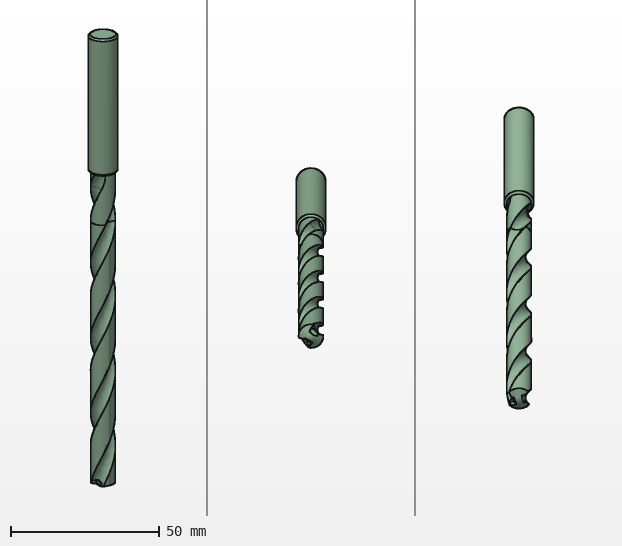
import cadquery as cq
import math

TOTAL_LENGTH = 165.0
SHANK_DIAMETER = 10.0
SHANK_LENGTH = 50.0
SHANK_TOP_CHAMFER = 0.7
SHANK_BOTTOM_CHAMFER = 0.8
DRILL_DIAMETER = 8.4
HEAD_LENGTH = 97.0
POINT_HEIGHT = 2.0

FLUTE_COUNT = 2
FLUTE_LEAD = 54.6
FLUTE_LENGTH = 109.7
FLUTE_DEPTH = 2.0
FLUTE_OPENING_ANGLE = 76.0
FLUTE_START_ANGLE = -82.0
BLANK_ALLOWANCE = 0.3

GASH_WIDTH = 3.0
GASH_HEIGHT = 3.1
GASH_OFFSET = 1.0

drill_radius = DRILL_DIAMETER / 2
shank_radius = SHANK_DIAMETER / 2
shank_bottom = TOTAL_LENGTH - SHANK_LENGTH
flute_spacing = 360 / FLUTE_COUNT
flute_end_angle = FLUTE_START_ANGLE + 360 * FLUTE_LENGTH / FLUTE_LEAD

half_opening = math.radians(FLUTE_OPENING_ANGLE / 2)
half_mouth = drill_radius * math.sin(half_opening)
floor_radius = drill_radius - FLUTE_DEPTH
floor_to_mouth = drill_radius * math.cos(half_opening) - floor_radius
flute_radius = (half_mouth**2 + floor_to_mouth**2) / (2 * floor_to_mouth)
flute_center = floor_radius + flute_radius

blank_radius = drill_radius + BLANK_ALLOWANCE
blank_half_opening = math.degrees(math.acos(
    (blank_radius**2 + flute_center**2 - flute_radius**2) / (2 * blank_radius * flute_center)
))


def polar_point(radius, degrees):
    """Point at the given distance and direction from the axis."""
    angle = math.radians(degrees)
    return (radius * math.cos(angle), radius * math.sin(angle))


def around_axis(shape, angle):
    """Shape turned about the Z axis."""
    return shape.rotate((0, 0, 0), (0, 0, 1), angle)


def fluted_blank(bottom, length):
    """Oversize rod with helical grooves that continue from one stretch to the next."""
    bottom_angle = FLUTE_START_ANGLE + 360 * bottom / FLUTE_LEAD
    outline = cq.Workplane("XY", origin=(0, 0, bottom))
    outline = outline.moveTo(*polar_point(blank_radius, bottom_angle - blank_half_opening))
    for index in range(FLUTE_COUNT):
        groove_angle = bottom_angle + index * flute_spacing
        groove_floor = polar_point(floor_radius, groove_angle)
        groove_end = polar_point(blank_radius, groove_angle + blank_half_opening)
        land_middle = polar_point(blank_radius, groove_angle + flute_spacing / 2)
        land_end = polar_point(blank_radius, groove_angle + flute_spacing - blank_half_opening)
        outline = outline.threePointArc(groove_floor, groove_end)
        outline = outline.threePointArc(land_middle, land_end)
    return outline.close().twistExtrude(length, 360 * length / FLUTE_LEAD)


def make_run_out():
    """Straight groove that leaves the helix along its tangent and stops at the shank."""
    rise = shank_bottom - FLUTE_LENGTH
    sideways = rise * 2 * math.pi * flute_center / FLUTE_LEAD
    section = cq.Wire.makeCircle(
        flute_radius, cq.Vector(flute_center, 0, FLUTE_LENGTH), cq.Vector(0, 0, 1)
    )
    run_out = cq.Solid.extrudeLinear(section, [], cq.Vector(0, sideways, rise))
    return cq.Workplane(run_out)


def make_gash():
    """Wedge on +X that thins the web between a groove and the axis."""
    return (
        cq.Workplane("XZ")
        .polyline([
            (GASH_OFFSET, 0),
            (floor_radius, GASH_HEIGHT),
            (drill_radius, GASH_HEIGHT),
            (drill_radius, 0),
        ])
        .close()
        .extrude(GASH_WIDTH / 2, both=True)
    )


def make_head():
    """Fluted cutting head with a conical point."""
    envelope = (
        cq.Workplane("XZ")
        .polyline([
            (0, 0),
            (drill_radius, POINT_HEIGHT),
            (drill_radius, HEAD_LENGTH),
            (0, HEAD_LENGTH),
        ])
        .close()
        .revolve(360, (0, 0), (0, 1))
    )
    head = fluted_blank(0, HEAD_LENGTH).intersect(envelope)
    gash = make_gash()
    for index in range(FLUTE_COUNT):
        head = head.cut(around_axis(gash, FLUTE_START_ANGLE + index * flute_spacing))
    return head


def make_neck():
    """Neck below the shank, where the grooves end in straight run-outs."""
    upper_neck = (
        cq.Workplane("XY", origin=(0, 0, FLUTE_LENGTH))
        .circle(drill_radius)
        .extrude(shank_bottom - FLUTE_LENGTH)
    )
    run_out = make_run_out()
    for index in range(FLUTE_COUNT):
        upper_neck = upper_neck.cut(around_axis(run_out, flute_end_angle + index * flute_spacing))
    lower_length = FLUTE_LENGTH - HEAD_LENGTH
    envelope = cq.Workplane("XY", origin=(0, 0, HEAD_LENGTH)).circle(drill_radius).extrude(lower_length)
    lower_neck = fluted_blank(HEAD_LENGTH, lower_length).intersect(envelope)
    return lower_neck.union(upper_neck)


def make_shank():
    """Cylindrical shank in one piece with the grooved neck."""
    grip = (
        cq.Workplane("XY", origin=(0, 0, shank_bottom))
        .circle(shank_radius)
        .extrude(SHANK_LENGTH)
        .faces(">Z").chamfer(SHANK_TOP_CHAMFER)
        .faces("<Z").chamfer(SHANK_BOTTOM_CHAMFER)
    )
    return grip.union(make_neck())


head = make_head()
shank = make_shank()
result = cq.Compound.makeCompound([head.val(), shank.val()])